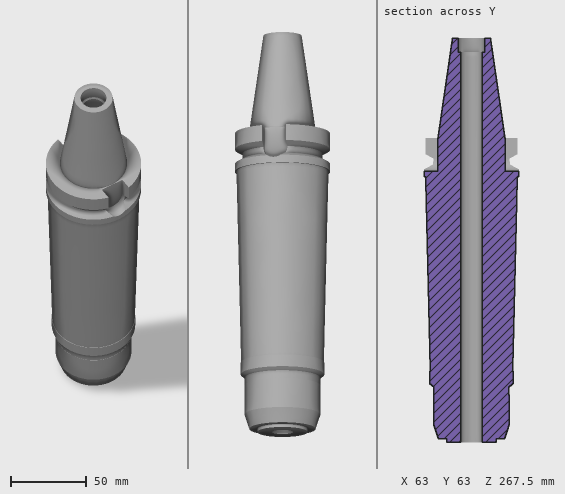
import cadquery as cq

total_length = 267.5

shank_length = 65.2
shank_top_diameter = 25.5
shank_base_diameter = 44.5
relief_length = 0.8

flange_diameter = 63.0
flange_rim_height = 10.7
groove_diameter = 53.0
groove_floor_height = 4.0
groove_flank_height = 3.0
lower_rim_height = 5.0

body_top_diameter = 61.0
body_bottom_diameter = 54.8
body_length = 129.0
band_diameter = 55.4
band_height = 8.0
band_chamfer_height = 2.1

neck_diameter = 50.0
neck_height = 5.3
nut_diameter = 50.3
nose_diameter = 43.9
nose_height = 9.5
tip_diameter = 33.2
tip_height = 2.1

bore_diameter = 14.0
counterbore_diameter = 17.0
counterbore_depth = 9.0

slot_width = 16.0
slot_depth = 22.0
slot_floor_distance = 22.5

shank_base_z = total_length - shank_length
flange_top_z = shank_base_z - relief_length
upper_rim_bottom_z = flange_top_z - flange_rim_height
groove_top_z = upper_rim_bottom_z - groove_flank_height
groove_bottom_z = groove_top_z - groove_floor_height
lower_rim_top_z = groove_bottom_z - groove_flank_height
body_top_z = lower_rim_top_z - lower_rim_height
band_top_z = body_top_z - body_length
band_bottom_z = band_top_z - band_height
neck_top_z = band_bottom_z - band_chamfer_height
nut_top_z = neck_top_z - neck_height
nose_bottom_z = tip_height
nose_top_z = nose_bottom_z + nose_height


def turned_body():
    """Revolve the outer profile, given as (diameter, level) from top to bottom."""
    profile = [
        (shank_top_diameter, total_length),
        (shank_base_diameter, shank_base_z),
        (shank_base_diameter, flange_top_z),
        (flange_diameter, flange_top_z),
        (flange_diameter, upper_rim_bottom_z),
        (groove_diameter, groove_top_z),
        (groove_diameter, groove_bottom_z),
        (flange_diameter, lower_rim_top_z),
        (flange_diameter, body_top_z),
        (body_top_diameter, body_top_z),
        (body_bottom_diameter, band_top_z),
        (band_diameter, band_top_z),
        (band_diameter, band_bottom_z),
        (neck_diameter, neck_top_z),
        (neck_diameter, nut_top_z),
        (nut_diameter, nut_top_z),
        (nut_diameter, nose_top_z),
        (nose_diameter, nose_bottom_z),
        (tip_diameter, nose_bottom_z),
        (tip_diameter, 0),
    ]
    half_section = [(0, total_length)]
    half_section += [(diameter / 2, level) for diameter, level in profile]
    half_section.append((0, 0))
    return (
        cq.Workplane("XZ")
        .polyline(half_section)
        .close()
        .revolve(360, (0, 0), (0, 1))
    )


def drive_slot():
    """Round-ended slot cutter on the +X side, open at the flange top."""
    half_width = slot_width / 2
    slot_bottom_z = flange_top_z - slot_depth
    arc_start_z = slot_bottom_z + half_width
    return (
        cq.Workplane("YZ", origin=(slot_floor_distance, 0, 0))
        .moveTo(-half_width, flange_top_z)
        .lineTo(-half_width, arc_start_z)
        .threePointArc((0, slot_bottom_z), (half_width, arc_start_z))
        .lineTo(half_width, flange_top_z)
        .close()
        .extrude(flange_diameter / 2)
    )


result = turned_body()
result = (
    result.faces(">Z")
    .workplane()
    .cboreHole(bore_diameter, counterbore_diameter, counterbore_depth)
)
for angle in (0, 180):
    result = result.cut(drive_slot().rotate((0, 0, 0), (0, 0, 1), angle))